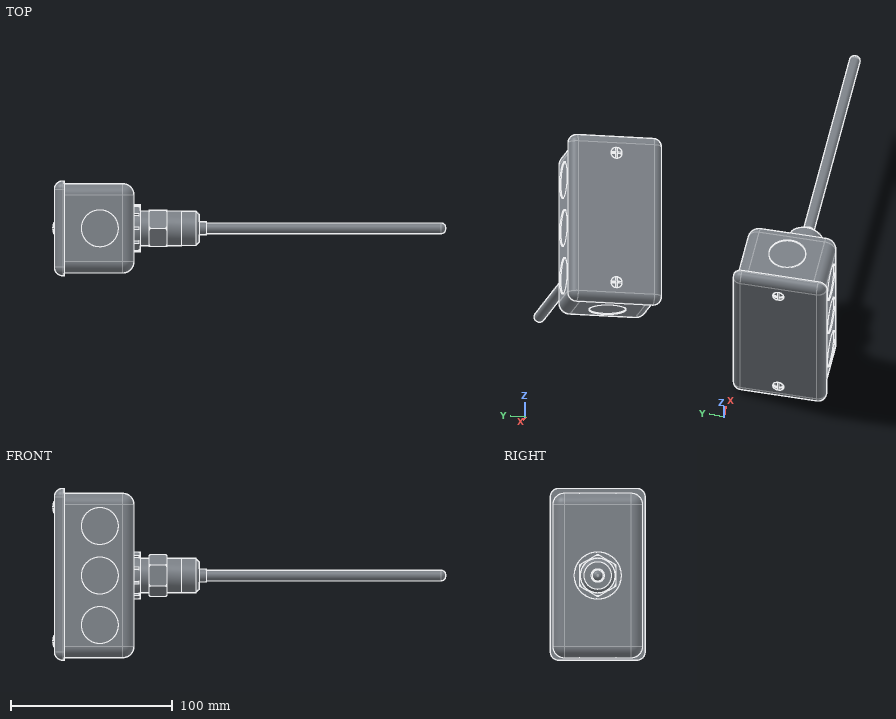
import cadquery as cq
import math

total_length = 243.0

box_depth = 43.0
box_width = 55.5
box_height = 101.8
box_edge_radius = 7.0
box_drop = 0.7

knockout_diameter = 22.8
knockout_depth = 0.7
knockout_pitch = 30.6
knockout_x = 21.9
knockout_rows = (-1, 0, 1)

cover_thickness = 6.3
cover_width = 58.8
cover_height = 106.5
cover_edge_radius = 5.3

screw_pitch = 82.9
screw_diameter = 7.0
screw_rim_height = 0.2
screw_dome_height = 0.7
screw_seat_depth = 1.0
screw_slot_width = 1.0

nut_diameter = 29.2
nut_thickness = 4.0
nut_web_thickness = 1.0
nut_notch_count = 10
nut_notch_width = 1.7

fitting_diameter = 21.6
fitting_length = 29.5
cap_diameter = 21.5
cap_length = 11.0
cap_chamfer = 2.2

hex_across_flats = 22.5
hex_start = 9.2
hex_length = 11.2
hex_chamfer = 0.7

collar_diameter = 8.3
collar_length = 4.4
stem_diameter = 6.8
stem_tip_radius = 3.0

cover_front = -cover_thickness
screw_radius = screw_diameter / 2
dome_radius = (screw_radius**2 + screw_dome_height**2) / (2 * screw_dome_height)
dome_apex = cover_front - screw_rim_height - screw_dome_height
slot_corner_radius = screw_slot_width / math.sqrt(2)
screw_front = dome_apex + dome_radius - math.sqrt(dome_radius**2 - slot_corner_radius**2)
probe_tip = screw_front + total_length


def yz_plane(x):
    """Plane normal to the probe axis at the given X."""
    return cq.Workplane("YZ", origin=(x, 0, 0))


def axial_cylinder(x, diameter, length):
    return yz_plane(x).circle(diameter / 2).extrude(length)


def make_box():
    box = yz_plane(0).rect(box_width, box_height).extrude(box_depth)
    box = box.edges("|X or >X").fillet(box_edge_radius)

    for side in (-1, 1):
        for row in knockout_rows:
            center = (knockout_x, side * box_width / 2, row * knockout_pitch)
            box = box.cut(knockout(center, (0, -side, 0)))
        center = (knockout_x, 0, side * box_height / 2)
        box = box.cut(knockout(center, (0, 0, -side)))
    return box.translate((0, 0, -box_drop))


def knockout(center, inward):
    """Disc cutter that starts on a box side and goes inward."""
    side_plane = cq.Plane(origin=center, normal=inward)
    return cq.Workplane(side_plane).circle(knockout_diameter / 2).extrude(knockout_depth)


def make_cover():
    cover = yz_plane(cover_front).rect(cover_width, cover_height).extrude(cover_thickness)
    cover = cover.edges("|X or <X").fillet(cover_edge_radius)
    for side in (-1, 1):
        seat = axial_cylinder(cover_front, screw_diameter, screw_seat_depth)
        cover = cover.cut(seat.translate((0, 0, side * screw_pitch / 2)))
    return cover


def make_screw(z):
    """Domed head with a cross slot, let into the cover."""
    head_height = cover_front + screw_seat_depth - dome_apex
    slot_depth = cover_front - dome_apex
    dome = cq.Workplane("XY").sphere(dome_radius).translate((dome_apex + dome_radius, 0, 0))
    head = axial_cylinder(dome_apex, screw_diameter, head_height).intersect(dome)
    for width, height in ((screw_diameter, screw_slot_width), (screw_slot_width, screw_diameter)):
        head = head.cut(yz_plane(dome_apex).rect(width, height).extrude(slot_depth))
    return head.translate((0, 0, z))


def make_locknut():
    """Disc with radial notches in the face towards the box."""
    nut = axial_cylinder(box_depth, nut_diameter, nut_thickness)
    notch_depth = nut_thickness - nut_web_thickness
    half_pitch = 180 / nut_notch_count
    notches = (
        yz_plane(box_depth)
        .polarArray(nut_diameter / 2, half_pitch, 360, nut_notch_count)
        .rect(nut_diameter - fitting_diameter, nut_notch_width)
        .extrude(notch_depth)
    )
    return nut.cut(notches)


def make_hexagon():
    """Hexagon with two flats facing +Y and -Y and its corners trimmed by cones."""
    across_corners = hex_across_flats / math.cos(math.pi / 6)
    start = box_depth + hex_start
    hexagon = yz_plane(start).polygon(6, across_corners).extrude(hex_length)
    hexagon = hexagon.rotate((0, 0, 0), (1, 0, 0), 90)
    trim = axial_cylinder(start, across_corners, hex_length).faces("<X or >X").chamfer(hex_chamfer)
    return hexagon.intersect(trim)


def make_probe():
    """Locknut, fitting with hexagon and end cap, collar and stem as one solid."""
    cap_start = box_depth + fitting_length
    cap_end = cap_start + cap_length
    fitting = axial_cylinder(box_depth, fitting_diameter, fitting_length)
    cap = axial_cylinder(cap_start, cap_diameter, cap_length).faces(">X").chamfer(cap_chamfer)
    collar = axial_cylinder(cap_end, collar_diameter, collar_length)
    stem = axial_cylinder(cap_end, stem_diameter, probe_tip - cap_end)
    stem = stem.faces(">X").edges().fillet(stem_tip_radius)

    probe = make_locknut().union(fitting).union(make_hexagon()).union(cap).union(collar).union(stem)
    return probe.translate((0, 0, -box_drop))


box = make_box()
cover = make_cover()
screws = [make_screw(side * screw_pitch / 2) for side in (-1, 1)]
probe = make_probe()

result = cq.Compound.makeCompound(
    [box.val(), cover.val(), *[screw.val() for screw in screws], probe.val()]
)